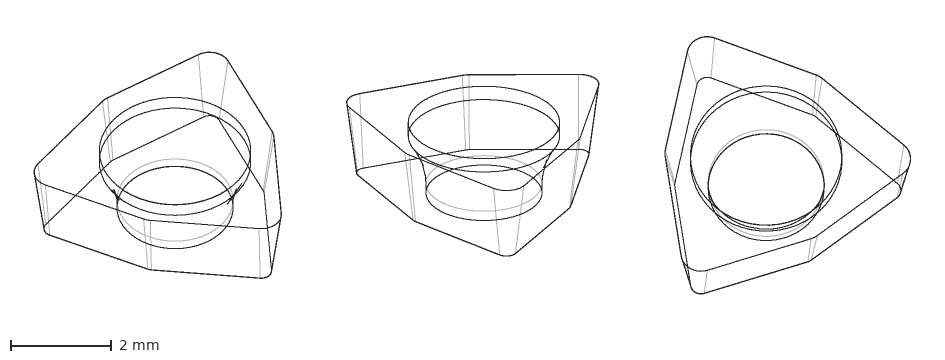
import cadquery as cq
import math

thickness = 1.59
overall_width = 5.01
corner_radius = 0.4
clearance_angle = 7.0
side_turn = 20.0
corner_count = 3

nose_half_turn = (360.0 / corner_count - side_turn) / 2
left_nose_tilt = 90.0 - nose_half_turn
right_nose_tilt = 60.0 - left_nose_tilt
nose_spread = math.cos(math.radians(left_nose_tilt)) + math.cos(math.radians(right_nose_tilt))
nose_centre_radius = (overall_width - 2 * corner_radius) / nose_spread

inscribed_radius = corner_radius + nose_centre_radius * math.cos(math.radians(nose_half_turn))

mouth_radius = 1.505
mouth_depth = 0.3
bore_radius = 1.15
bore_height = 0.21

side_normals = []
for corner in range(corner_count):
    first_normal = -90.0 + corner * 360.0 / corner_count
    side_normals += [first_normal, first_normal + side_turn]


def on_circle(radius, angle):
    """Point at a polar angle given in degrees."""
    return (radius * math.cos(math.radians(angle)), radius * math.sin(math.radians(angle)))


def rounded_trigon(inset, z):
    """Wire of the six-sided outline, moved inwards by inset."""
    radius = corner_radius - inset
    centre_line = inscribed_radius - corner_radius
    outline = None
    for i, normal in enumerate(side_normals):
        following = side_normals[(i + 1) % len(side_normals)]
        half_turn = ((following - normal) % 360.0) / 2
        bisector = normal + half_turn
        cx, cy = on_circle(centre_line / math.cos(math.radians(half_turn)), bisector)
        arc = []
        for angle in (normal, bisector, bisector + half_turn):
            dx, dy = on_circle(radius, angle)
            arc.append((cx + dx, cy + dy))
        if outline is None:
            outline = cq.Workplane("XY", origin=(0, 0, z)).moveTo(*arc[0])
        else:
            outline = outline.lineTo(*arc[0])
        outline = outline.threePointArc(arc[1], arc[2])
    return outline.close().val()


def insert_body():
    """Tapered body; the corner rounds are cones that shrink downwards."""
    bottom_inset = thickness * math.tan(math.radians(clearance_angle))
    wires = [rounded_trigon(bottom_inset, 0), rounded_trigon(0, thickness)]
    return cq.Workplane(cq.Solid.makeLoft(wires, True))


def screw_hole():
    """Revolved hole: straight bore, curved seat tangent to it, straight mouth."""
    mouth_z = thickness - mouth_depth
    return (
        cq.Workplane("XZ")
        .lineTo(bore_radius, 0)
        .lineTo(bore_radius, bore_height)
        .tangentArcPoint((mouth_radius, mouth_z), relative=False)
        .lineTo(mouth_radius, thickness)
        .lineTo(0, thickness)
        .close()
        .revolve(360, (0, 0, 0), (0, 1, 0))
    )


result = insert_body().cut(screw_hole())